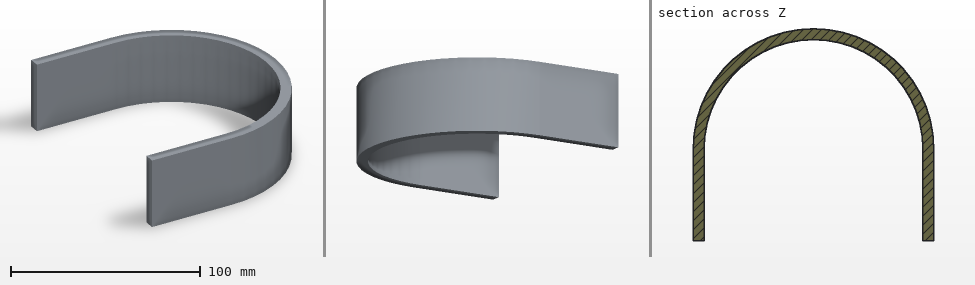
import cadquery as cq

width = 127.0
depth = 112.0
height = 40.0
wall = 6.0

outer_radius = width / 2
inner_radius = outer_radius - wall
leg_length = depth - outer_radius

result = (
    cq.Workplane("XY")
    .moveTo(-outer_radius, -leg_length)
    .lineTo(-outer_radius, 0)
    .threePointArc((0, outer_radius), (outer_radius, 0))
    .lineTo(outer_radius, -leg_length)
    .lineTo(inner_radius, -leg_length)
    .lineTo(inner_radius, 0)
    .threePointArc((0, inner_radius), (-inner_radius, 0))
    .lineTo(-inner_radius, -leg_length)
    .close()
    .extrude(height)
)